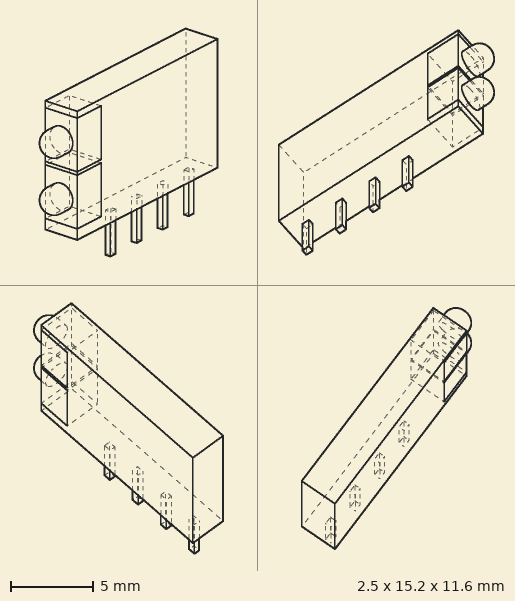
import cadquery as cq

WIDTH = 2.5
HOUSING_HEIGHT = 8.6
OVERALL_LENGTH = 15.24
OVERALL_HEIGHT = 11.6

LED_COUNT = 2
LED_BASE_DEPTH = 2.35
LED_BASE_HEIGHT = 3.58
LED_PITCH = 3.81
LOWEST_BASE_BOTTOM = 0.75
LENS_DIAMETER = 1.8
LENS_LENGTH = 1.52
LENS_ROUNDING = 0.8

PIN_COUNT = 4
PIN_PITCH = 2.55
PIN_SIZE_X = 0.4
PIN_SIZE_Y = 0.5
REAR_PIN_INSET = 1.26

HOUSING_LENGTH = OVERALL_LENGTH - LENS_LENGTH
PIN_LENGTH = OVERALL_HEIGHT - HOUSING_HEIGHT


def make_led_base(index):
    """Rectangular base of one LED, counted upwards from the lowest."""
    bottom = LOWEST_BASE_BOTTOM + index * LED_PITCH
    return (
        cq.Workplane("XY")
        .box(WIDTH, LED_BASE_DEPTH, LED_BASE_HEIGHT, centered=(True, False, False))
        .translate((0, 0, bottom))
    )


def make_lens(index):
    """Cylindrical lens with a rounded tip, centred on its LED base."""
    axis_height = LOWEST_BASE_BOTTOM + LED_BASE_HEIGHT / 2 + index * LED_PITCH
    return (
        cq.Workplane("XZ")
        .center(0, axis_height)
        .circle(LENS_DIAMETER / 2)
        .extrude(LENS_LENGTH)
        .faces("<Y")
        .edges()
        .fillet(LENS_ROUNDING)
    )


def make_led(index):
    """One LED: base and lens in one solid."""
    return make_led_base(index).union(make_lens(index))


def make_housing():
    """Block with a pocket across its full width for each LED base."""
    housing = cq.Workplane("XY").box(
        WIDTH, HOUSING_LENGTH, HOUSING_HEIGHT, centered=(True, False, False)
    )
    for index in range(LED_COUNT):
        housing = housing.cut(make_led_base(index))
    return housing


def make_pin(index):
    """One pin below the housing, counted forwards from the rear."""
    axis_y = HOUSING_LENGTH - REAR_PIN_INSET - index * PIN_PITCH
    return (
        cq.Workplane("XY")
        .center(0, axis_y)
        .rect(PIN_SIZE_X, PIN_SIZE_Y)
        .extrude(-PIN_LENGTH)
    )


housing = make_housing()
leds = [make_led(index) for index in range(LED_COUNT)]
pins = [make_pin(index) for index in range(PIN_COUNT)]

result = cq.Compound.makeCompound(
    [body.solids().val() for body in [housing, *leds, *pins]]
)